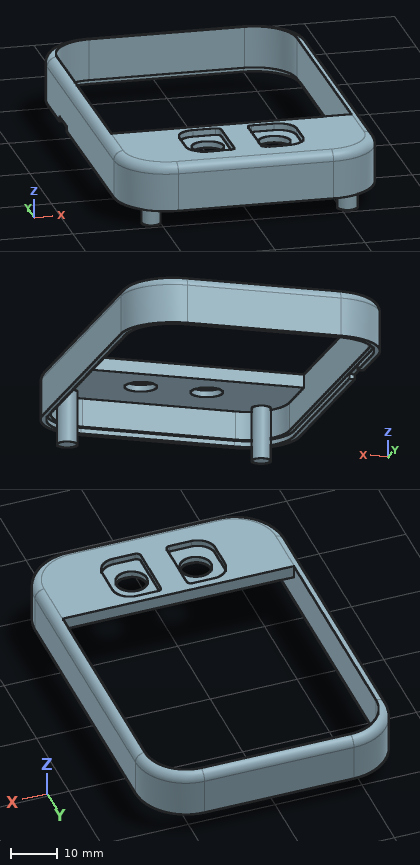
import cadquery as cq

WIDTH = 57.6
LENGTH = 85.1
TOTAL_HEIGHT = 14.88
BODY_HEIGHT = 10.6
CORNER_RADIUS = 11.6
TOP_FILLET = 2.1
WALL = 2.2

STEP_WIDTH = 0.95
STEP_HEIGHT = 1.25

PLATE_EDGE_Y = -19.65
PLATE_THICKNESS = 3.0

POCKET_INNER_X = 3.0
POCKET_OUTER_X = 13.0
POCKET_LENGTH = 14.1
POCKET_DEPTH = 1.5
POCKET_OUTER_RADIUS = 4.0
POCKET_INNER_RADIUS = 1.0
BUTTON_X = 7.4
BUTTON_Y = -28.7
BUTTON_HOLE_DIAMETER = 7.0

PINS = [(-21.9, 4.15), (21.65, 4.48)]
PIN_Y = -36.7

NOTCH_CENTER_Y = 16.1
NOTCH_LENGTH = 6.6
NOTCH_HEIGHT = 1.1


def rounded_block(width, length, height, radius):
    """Block standing on Z = 0 with rounded vertical edges."""
    block = cq.Workplane("XY").box(width, length, height, centered=(True, True, False))
    return block.edges("|Z").fillet(radius)


def inner_block(wall, height):
    """Space left inside a wall of the given thickness, from Z = 0 up to a height."""
    return rounded_block(WIDTH - 2 * wall, LENGTH - 2 * wall, height, CORNER_RADIUS - wall)


def frame():
    """Ring-shaped wall with a rounded top outer edge and a stepped lower inner edge."""
    outer = rounded_block(WIDTH, LENGTH, BODY_HEIGHT, CORNER_RADIUS)
    outer = outer.faces(">Z").edges().fillet(TOP_FILLET)
    cavity = inner_block(WALL, BODY_HEIGHT)
    step = inner_block(WALL - STEP_WIDTH, STEP_HEIGHT)
    return outer.cut(cavity).cut(step)


def button_plate():
    """Plate that fills the -Y end of the cavity at the top."""
    plate_length = PLATE_EDGE_Y + LENGTH / 2
    slab = (
        cq.Workplane("XY", origin=(0, PLATE_EDGE_Y - plate_length / 2, BODY_HEIGHT - PLATE_THICKNESS))
        .box(WIDTH, plate_length, PLATE_THICKNESS, centered=(True, True, False))
    )
    return slab.intersect(inner_block(WALL, BODY_HEIGHT))


def button_cutout():
    """Pocket on the +X side, with the larger radii away from the middle, and its hole."""
    width = POCKET_OUTER_X - POCKET_INNER_X
    center_x = (POCKET_OUTER_X + POCKET_INNER_X) / 2
    pocket = (
        cq.Workplane("XY", origin=(center_x, BUTTON_Y, BODY_HEIGHT - POCKET_DEPTH))
        .box(width, POCKET_LENGTH, POCKET_DEPTH, centered=(True, True, False))
        .edges("|Z and >X").fillet(POCKET_OUTER_RADIUS)
        .edges("|Z and <X").fillet(POCKET_INNER_RADIUS)
    )
    hole = (
        cq.Workplane("XY", origin=(BUTTON_X, BUTTON_Y, 0))
        .circle(BUTTON_HOLE_DIAMETER / 2)
        .extrude(BODY_HEIGHT)
    )
    return pocket.union(hole)


def pin(x, diameter):
    """Pin from the underside of the plate to below the frame."""
    pin_length = TOTAL_HEIGHT - PLATE_THICKNESS
    return (
        cq.Workplane("XY", origin=(x, PIN_Y, BODY_HEIGHT - TOTAL_HEIGHT))
        .circle(diameter / 2)
        .extrude(pin_length)
    )


def notch():
    """Shallow rectangular gap through the -X wall at its lower edge."""
    return (
        cq.Workplane("XY", origin=(-WIDTH / 2, NOTCH_CENTER_Y, 0))
        .box(2 * WALL, NOTCH_LENGTH, NOTCH_HEIGHT, centered=(True, True, False))
    )


result = frame().union(button_plate())
for pin_x, pin_diameter in PINS:
    result = result.union(pin(pin_x, pin_diameter))
cutout = button_cutout()
result = result.cut(cutout).cut(cutout.mirror("YZ")).cut(notch())